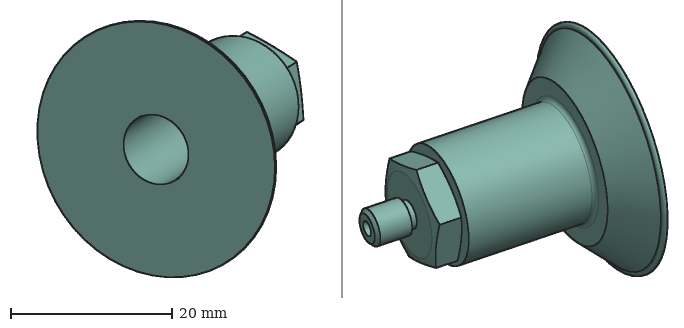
import cadquery as cq
import math


rim_radius = 33.07 / 2
rim_height = 0.65
rim_rounding = 0.45
cone_top_radius = 11.0
cone_slope = 45.0
cup_height = 5.5

body_radius = 16.0 / 2
body_top = 23.5
body_root_fillet = 0.6

hex_height = 4.0
hex_across_flats = 13.0
hex_turn = 37.2
hex_chamfer_angle = 14.5
hex_end_face_radius = 5.7
envelope_margin = 1.0

neck_radius = 3.8 / 2
neck_length = 1.0
stud_radius = 5.0 / 2
stud_length = 5.0
stud_chamfer = 0.5

bore_radius = 9.0 / 2
bore_depth = body_top
air_hole_radius = 2.0 / 2

hex_top = body_top + hex_height
neck_top = hex_top + neck_length
stud_top = neck_top + stud_length
hex_corner_radius = hex_across_flats / math.sqrt(3)


def revolve_about_axis(half_profile):
    """Turn a closed profile, drawn as (radius, Y), about the Y axis."""
    return half_profile.close().revolve(360, (0, 0, 0), (0, 1, 0))


def rod(radius, start, end):
    """Cylinder along Y between two positions."""
    return revolve_about_axis(
        cq.Workplane("XY").moveTo(0, start).lineTo(radius, start).lineTo(radius, end).lineTo(0, end)
    )


def point_on_circle(center, radius, angle):
    """Point of a circle in the profile plane, at an angle in degrees from the radial direction."""
    turn = math.radians(angle)
    return (center[0] + radius * math.cos(turn), center[1] + radius * math.sin(turn))


def make_cup_and_body():
    """Rounded rim, conical cup and body with a filleted root."""
    bead_center = (rim_radius - rim_rounding, rim_height - rim_rounding)
    bead_start_angle = -math.degrees(math.asin(bead_center[1] / rim_rounding))
    bead_start = point_on_circle(bead_center, rim_rounding, bead_start_angle)
    bead_middle = point_on_circle(bead_center, rim_rounding, (bead_start_angle + 90) / 2)
    bead_end = point_on_circle(bead_center, rim_rounding, 90)

    cone_foot_radius = cone_top_radius + (cup_height - rim_height) / math.tan(math.radians(cone_slope))

    body_fillet_center = (body_radius + body_root_fillet, cup_height + body_root_fillet)
    body_fillet_start = point_on_circle(body_fillet_center, body_root_fillet, -90)
    body_fillet_middle = point_on_circle(body_fillet_center, body_root_fillet, -135)
    body_fillet_end = point_on_circle(body_fillet_center, body_root_fillet, 180)

    return revolve_about_axis(
        cq.Workplane("XY")
        .lineTo(*bead_start)
        .threePointArc(bead_middle, bead_end)
        .lineTo(cone_foot_radius, rim_height)
        .lineTo(cone_top_radius, cup_height)
        .lineTo(*body_fillet_start)
        .threePointArc(body_fillet_middle, body_fillet_end)
        .lineTo(body_radius, body_top)
        .lineTo(0, body_top)
    )


def make_hexagon():
    """Hexagon with its corners chamfered conically at both ends."""
    prism = (
        cq.Workplane("XZ")
        .polygon(6, 2 * hex_corner_radius)
        .extrude(-hex_height)
        .rotate((0, 0, 0), (0, 1, 0), -hex_turn)
        .translate((0, body_top, 0))
    )
    envelope_radius = hex_corner_radius + envelope_margin
    chamfer_rise = (envelope_radius - hex_end_face_radius) * math.tan(math.radians(hex_chamfer_angle))
    envelope = revolve_about_axis(
        cq.Workplane("XY")
        .moveTo(0, body_top)
        .lineTo(hex_end_face_radius, body_top)
        .lineTo(envelope_radius, body_top + chamfer_rise)
        .lineTo(envelope_radius, hex_top - chamfer_rise)
        .lineTo(hex_end_face_radius, hex_top)
        .lineTo(0, hex_top)
    )
    return prism.intersect(envelope)


def make_stud():
    """Stud on a thinner neck, chamfered at its free end."""
    stud = rod(stud_radius, neck_top, stud_top).faces(">Y").chamfer(stud_chamfer)
    return rod(neck_radius, hex_top, neck_top).union(stud)


def make_air_passage():
    """Wide bore from the sealing face, continued by a narrow hole through the stud."""
    return rod(bore_radius, 0, bore_depth).union(rod(air_hole_radius, 0, stud_top))


result = make_cup_and_body().union(make_hexagon()).union(make_stud()).cut(make_air_passage())